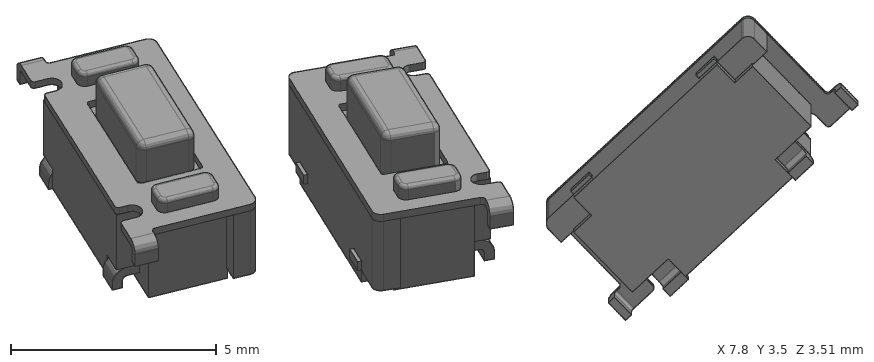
import cadquery as cq


total_length = 7.8
total_height = 3.51
cover_top = 2.51
sheet = 0.2
body_top = cover_top - sheet
rear_y = 1.6
front_y = -1.7
cover_width = 6.895
rear_corner_radius = 0.22

core_width = 6.0
neck_width = 4.805
front_notch_depth = 0.61
rear_notch_depth = 0.625
core_front_y = front_y + front_notch_depth
core_rear_y = rear_y - rear_notch_depth
arm_bottom = 0.33
arm_depth = 0.655

post_width = 0.725
post_length = 1.6
post_height = 0.4
post_corner_radius = 0.2
post_top_radius = 0.11
post_x = (core_width - post_width) / 2

plunger_width = 2.995
plunger_depth = 1.5
plunger_radius = 0.195
opening_width = 3.41
opening_depth = 1.7
opening_radius = 0.08

foot_front_y = front_y - 0.1
foot_depth = 0.61
foot_drop = 0.655
bend_outer_radius = 0.29
bend_inner_radius = bend_outer_radius - sheet
slot_width = 0.51
slot_x = 2.645
slot_end_y = -1.13
edge_radius = 0.09

lead_width = 0.61
lead_thickness = 0.26
lead_top = 0.6
lead_front_y = foot_front_y
lead_rear_y = rear_y + 0.1
lead_outer_radius = 0.39
lead_inner_radius = lead_outer_radius - lead_thickness
lead_x = (neck_width - lead_width) / 2


def block(x_min, x_max, y_min, y_max, z_min, z_max):
    """Axis-aligned box given by its limits."""
    size = (x_max - x_min, y_max - y_min, z_max - z_min)
    return cq.Workplane("XY").box(*size, centered=False).translate((x_min, y_min, z_min))


def centred_block(width, y_min, y_max, z_min, z_max):
    """Box that is symmetric about X = 0."""
    return block(-width / 2, width / 2, y_min, y_max, z_min, z_max)


def make_post_shaft(side):
    """Rounded post outline from the housing top to the post top."""
    shaft = block(
        side * post_x - post_width / 2,
        side * post_x + post_width / 2,
        -post_length / 2,
        post_length / 2,
        body_top,
        cover_top + post_height,
    )
    return shaft.edges("|Z").fillet(post_corner_radius)


def make_lead(side):
    """Strip that leaves a stub behind the housing and bends down to the base in front."""
    lead_bottom = lead_top - lead_thickness
    inner_y = lead_front_y + lead_thickness
    profile = (
        cq.Workplane("YZ")
        .moveTo(lead_rear_y, lead_top)
        .lineTo(lead_front_y + lead_outer_radius, lead_top)
        .radiusArc((lead_front_y, lead_top - lead_outer_radius), -lead_outer_radius)
        .lineTo(lead_front_y, 0)
        .lineTo(inner_y, 0)
        .lineTo(inner_y, lead_bottom - lead_inner_radius)
        .radiusArc((inner_y + lead_inner_radius, lead_bottom), lead_inner_radius)
        .lineTo(lead_rear_y, lead_bottom)
        .close()
    )
    return profile.extrude(lead_width / 2, both=True).translate((side * lead_x, 0, 0))


def make_housing(leads):
    core = centred_block(core_width, core_front_y, core_rear_y, 0, body_top)
    neck = centred_block(neck_width, front_y, rear_y, 0, body_top)
    arms = centred_block(cover_width, rear_y - arm_depth, rear_y, arm_bottom, body_top)
    arms = arms.edges("|Z and >Y").fillet(rear_corner_radius)
    housing = core.union(neck).union(arms)

    for side, lead in zip((-1, 1), leads):
        pocket = block(
            side * lead_x - lead_width / 2,
            side * lead_x + lead_width / 2,
            front_y,
            core_front_y,
            0,
            lead_top,
        )
        housing = housing.cut(pocket).cut(lead)
        post = make_post_shaft(side).faces(">Z").edges().fillet(post_top_radius)
        housing = housing.union(post)
    return housing


def make_foot(side):
    """Corner foot that bends down beyond the end of the cover plate."""
    outer_x = total_length / 2
    inner_x = outer_x - sheet
    foot_bottom = cover_top - foot_drop
    root_x = slot_x + slot_width / 2
    profile = (
        cq.Workplane("XZ")
        .moveTo(root_x, cover_top)
        .lineTo(outer_x - bend_outer_radius, cover_top)
        .radiusArc((outer_x, cover_top - bend_outer_radius), bend_outer_radius)
        .lineTo(outer_x, foot_bottom)
        .lineTo(inner_x, foot_bottom)
        .lineTo(inner_x, body_top - bend_inner_radius)
        .radiusArc((inner_x - bend_inner_radius, body_top), -bend_inner_radius)
        .lineTo(root_x, body_top)
        .close()
    )
    foot = profile.extrude(foot_depth).translate((0, foot_front_y + foot_depth, 0))
    if side < 0:
        foot = foot.mirror("YZ")
    return foot


def make_cover():
    cover = centred_block(cover_width, front_y, rear_y, body_top, cover_top)
    cover = cover.edges("|Z and >Y").fillet(rear_corner_radius)
    foot_rear_y = foot_front_y + foot_depth
    slot_radius = slot_width / 2
    slot_centre_y = slot_end_y - slot_radius
    slot_inner_x = slot_x - slot_radius
    slot_outer_x = slot_x + slot_radius

    for side in (-1, 1):
        cover = cover.union(make_foot(side))

        slot = (
            cq.Workplane("XY", origin=(0, 0, body_top))
            .moveTo(slot_inner_x, foot_front_y)
            .lineTo(slot_inner_x, slot_centre_y)
            .threePointArc((slot_x, slot_end_y), (slot_outer_x, slot_centre_y))
            .lineTo(slot_outer_x, foot_front_y)
            .close()
            .extrude(sheet)
        )
        if side < 0:
            slot = slot.mirror("YZ")
        cover = cover.cut(slot).cut(make_post_shaft(side))

        corners = (
            (slot_inner_x, front_y),
            (slot_outer_x, foot_front_y),
            (cover_width / 2, foot_rear_y),
        )
        for x, y in corners:
            corner = cq.selectors.NearestToPointSelector((side * x, y, body_top + sheet / 2))
            cover = cover.edges("|Z").edges(corner).fillet(edge_radius)

    opening = centred_block(
        opening_width, -opening_depth / 2, opening_depth / 2, body_top, cover_top
    )
    return cover.cut(opening.edges("|Z").fillet(opening_radius))


def make_plunger():
    plunger = centred_block(
        plunger_width, -plunger_depth / 2, plunger_depth / 2, body_top, total_height
    )
    return plunger.edges("|Z or >Z").fillet(plunger_radius)


leads = [make_lead(side) for side in (-1, 1)]
housing = make_housing(leads)
cover = make_cover()
plunger = make_plunger()

result = cq.Compound.makeCompound(
    [housing.val(), cover.val(), plunger.val(), *[lead.val() for lead in leads]]
)